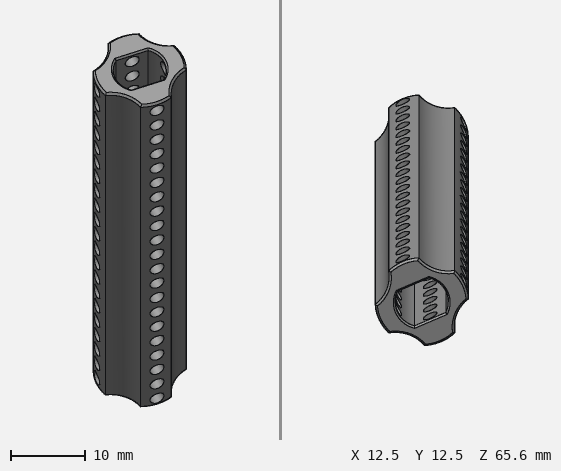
import cadquery as cq
import math

hole_pitch = 3.125
hole_count = 21
hole_diameter = 2.0
outer_diameter = 12.5
flute_radius = 5.0
flute_axis_distance = 10.0
flute_count = 4
first_flute_angle = 45
bore_diameter = 7.1
bore_across_flats = 5.4
end_chamfer = 0.3
bore_chamfer = 0.25

length = hole_count * hole_pitch
outer_radius = outer_diameter / 2
first_hole_height = hole_pitch / 2


def fluted_bar():
    """Round bar with a lengthwise concave flute on each diagonal, leaving four lobes."""
    bar = cq.Workplane("XY").circle(outer_radius).extrude(length)
    flutes = (
        cq.Workplane("XY")
        .polarArray(flute_axis_distance, first_flute_angle, 360, flute_count)
        .circle(flute_radius)
        .extrude(length)
    )
    return bar.cut(flutes)


def double_d_bore():
    """Full-length bore with round ends along Y and flats facing X."""
    radius = bore_diameter / 2
    half_width = bore_across_flats / 2
    half_flat = math.sqrt(radius**2 - half_width**2)
    return (
        cq.Workplane("XY")
        .moveTo(half_width, -half_flat)
        .lineTo(half_width, half_flat)
        .threePointArc((0, radius), (-half_width, half_flat))
        .lineTo(-half_width, -half_flat)
        .threePointArc((0, -radius), (half_width, -half_flat))
        .close()
        .extrude(length)
    )


def bore_mouths(beam):
    """Edges around the bore at both ends of the beam."""
    rings = [face.innerWires()[0] for face in beam.faces("<Z or >Z").vals()]
    return beam.newObject([edge for ring in rings for edge in ring.Edges()])


def cross_holes(plane):
    """Row of through holes along the beam, normal to the given plane."""
    centers = [(0, first_hole_height + i * hole_pitch) for i in range(hole_count)]
    return (
        cq.Workplane(plane)
        .pushPoints(centers)
        .circle(hole_diameter / 2)
        .extrude(outer_radius, both=True)
    )


beam = fluted_bar().faces("<Z or >Z").chamfer(end_chamfer)
beam = beam.cut(double_d_bore())
beam = bore_mouths(beam).chamfer(bore_chamfer)
result = beam.cut(cross_holes("XZ")).cut(cross_holes("YZ"))